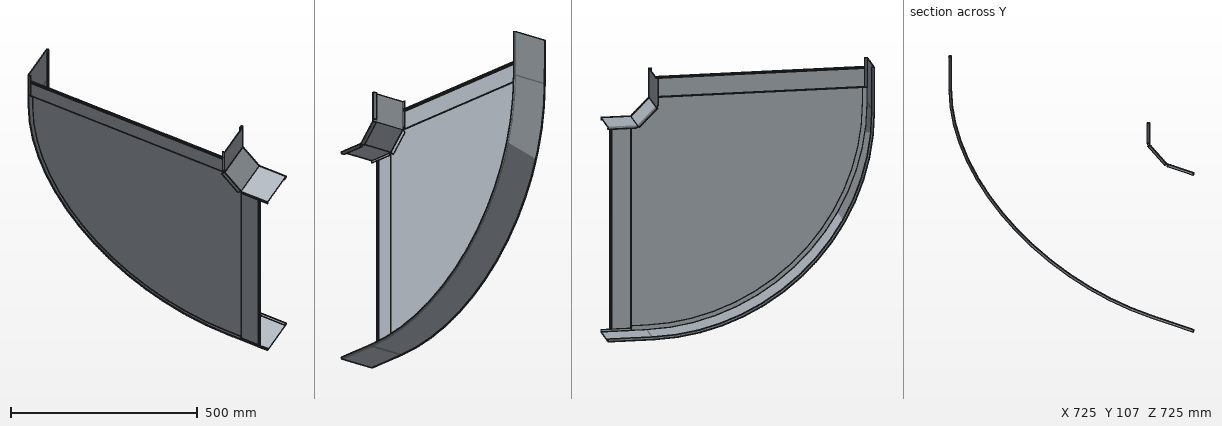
import cadquery as cq
import math

SIZE = 725.0
HEIGHT = 107.0
SHEET = 1.5
BEND_RADIUS = 600.0
INNER_FACE = 595.0
CORNER = 644.5
END_LENGTH = 82.0
NARROW_FLANGE = 7.0
WIDE_FLANGE = 14.0
HEM_RADIUS = 3.5
HEM_DEPTH = 10.0
LIP_SETBACK = 23.0
JOGGLE_LENGTH = 2.0

BASE_END = SIZE - END_LENGTH
LIP_TIP = SIZE - LIP_SETBACK
HEM_WIDTH = 2 * HEM_RADIUS
HEM_BEND_Y = HEIGHT - HEM_RADIUS
HEM_END_Y = HEIGHT - HEM_DEPTH
CORNER_SHIFT = SHEET * math.tan(math.radians(22.5))
DIAGONAL = cq.Vector(1, 0, -1)


def sheet_plane(y):
    """Plane with X right and Z up, at depth y behind the front face."""
    return cq.Workplane("XZ", origin=(0, y, 0))


def with_mirror_copy(shape):
    """The shape joined to its copy across the diagonal symmetry plane."""
    return shape.union(shape.mirror(DIAGONAL))


def arc_middle(inset):
    """Middle point of the curved wall's arc, moved inward by inset."""
    place = BEND_RADIUS - (BEND_RADIUS - inset) * math.sqrt(0.5)
    return (place, place)


def wall_section(at_x, side):
    """Wall profile at the upper open end, with its outer face at at_x and a rolled back edge.

    side is 1 where the tray lies toward +X of the wall and -1 where it lies toward -X.
    """

    def point(inset, y):
        return (at_x + side * inset, y)

    return (
        cq.Workplane("XY", origin=(0, 0, SIZE))
        .moveTo(*point(0, 0))
        .lineTo(*point(0, HEM_BEND_Y))
        .threePointArc(point(HEM_RADIUS, HEIGHT), point(HEM_WIDTH, HEM_BEND_Y))
        .lineTo(*point(HEM_WIDTH, HEM_END_Y))
        .lineTo(*point(HEM_WIDTH - SHEET, HEM_END_Y))
        .lineTo(*point(HEM_WIDTH - SHEET, HEM_BEND_Y))
        .threePointArc(point(HEM_RADIUS, HEIGHT - SHEET), point(SHEET, HEM_BEND_Y))
        .lineTo(*point(SHEET, 0))
        .close()
    )


def make_outer_wall():
    path = (
        sheet_plane(0)
        .moveTo(0, SIZE)
        .lineTo(0, BEND_RADIUS)
        .threePointArc(arc_middle(0), (BEND_RADIUS, 0))
        .lineTo(SIZE, 0)
    )
    wall = wall_section(0, 1).sweep(path, transition="right")
    flange = (
        sheet_plane(0)
        .moveTo(0, SIZE)
        .lineTo(0, BEND_RADIUS)
        .threePointArc(arc_middle(0), (BEND_RADIUS, 0))
        .lineTo(SIZE, 0)
        .lineTo(SIZE, NARROW_FLANGE)
        .lineTo(BASE_END, NARROW_FLANGE)
        .lineTo(BASE_END, WIDE_FLANGE)
        .lineTo(BEND_RADIUS, WIDE_FLANGE)
        .threePointArc(arc_middle(WIDE_FLANGE), (WIDE_FLANGE, BEND_RADIUS))
        .lineTo(WIDE_FLANGE, BASE_END)
        .lineTo(NARROW_FLANGE, BASE_END)
        .lineTo(NARROW_FLANGE, SIZE)
        .close()
        .extrude(-SHEET)
    )
    return wall.union(flange)


def make_inner_wall():
    path = (
        sheet_plane(0)
        .moveTo(INNER_FACE, SIZE)
        .lineTo(INNER_FACE, CORNER)
        .lineTo(CORNER, INNER_FACE)
        .lineTo(SIZE, INNER_FACE)
    )
    wall = wall_section(INNER_FACE, -1).sweep(path, transition="right")
    leg_flange = (
        sheet_plane(0)
        .moveTo(INNER_FACE, SIZE)
        .lineTo(INNER_FACE, CORNER)
        .lineTo(INNER_FACE - NARROW_FLANGE, CORNER + NARROW_FLANGE)
        .lineTo(INNER_FACE - NARROW_FLANGE, SIZE)
        .close()
        .extrude(-SHEET)
    )
    step = WIDE_FLANGE * math.sqrt(0.5)
    slope_flange = (
        sheet_plane(0)
        .moveTo(INNER_FACE, CORNER)
        .lineTo(CORNER, INNER_FACE)
        .lineTo(CORNER - step, INNER_FACE - step)
        .lineTo(INNER_FACE - step, CORNER - step)
        .close()
        .extrude(-SHEET)
    )
    notch_x = INNER_FACE - SHEET
    notch_z = CORNER - CORNER_SHIFT
    hem_notch = (
        sheet_plane(HEM_END_Y)
        .moveTo(notch_x, notch_z)
        .lineTo(notch_x - HEM_WIDTH, notch_z + HEM_WIDTH)
        .lineTo(notch_x - HEM_WIDTH, notch_z - HEM_WIDTH)
        .close()
        .extrude(-HEM_DEPTH)
    )
    notched_wall = wall.cut(hem_notch).cut(hem_notch.mirror(DIAGONAL))
    return notched_wall.union(with_mirror_copy(leg_flange)).union(slope_flange)


def make_end_lip():
    """Lip at the upper end: steps forward, flush with the flanges, then back and round at its tip."""
    forward_end = BASE_END + JOGGLE_LENGTH
    nose_start = LIP_TIP - 3 * JOGGLE_LENGTH
    nose_flat = nose_start + JOGGLE_LENGTH
    round_start = LIP_TIP - JOGGLE_LENGTH
    nose_depth = SHEET + JOGGLE_LENGTH
    bend = JOGGLE_LENGTH * math.sqrt(0.5)
    inner_radius = JOGGLE_LENGTH - SHEET
    inner_bend = inner_radius * math.sqrt(0.5)
    return (
        cq.Workplane("YZ", origin=(NARROW_FLANGE, 0, 0))
        .moveTo(SHEET, BASE_END)
        .lineTo(0, forward_end)
        .lineTo(0, nose_start)
        .lineTo(SHEET, nose_flat)
        .lineTo(SHEET, round_start)
        .threePointArc((nose_depth - bend, round_start + bend), (nose_depth, LIP_TIP))
        .lineTo(nose_depth, LIP_TIP - SHEET)
        .threePointArc((nose_depth - inner_bend, round_start + inner_bend), (2 * SHEET, round_start))
        .lineTo(2 * SHEET, nose_flat)
        .lineTo(SHEET, nose_start)
        .lineTo(SHEET, forward_end)
        .lineTo(2 * SHEET, BASE_END)
        .close()
        .extrude(INNER_FACE - 2 * NARROW_FLANGE)
    )


def make_base():
    slope_place = INNER_FACE - SHEET + CORNER - CORNER_SHIFT - BASE_END
    panel = (
        sheet_plane(SHEET)
        .moveTo(SHEET, BASE_END)
        .lineTo(SHEET, BEND_RADIUS)
        .threePointArc(arc_middle(SHEET), (BEND_RADIUS, SHEET))
        .lineTo(BASE_END, SHEET)
        .lineTo(BASE_END, slope_place)
        .lineTo(slope_place, BASE_END)
        .close()
        .extrude(-SHEET)
    )
    return panel.union(with_mirror_copy(make_end_lip()))


outer_wall = make_outer_wall()
inner_wall = make_inner_wall()
base = make_base()

result = cq.Compound.makeCompound([
    outer_wall.solids().val(),
    inner_wall.solids().val(),
    base.solids().val(),
])